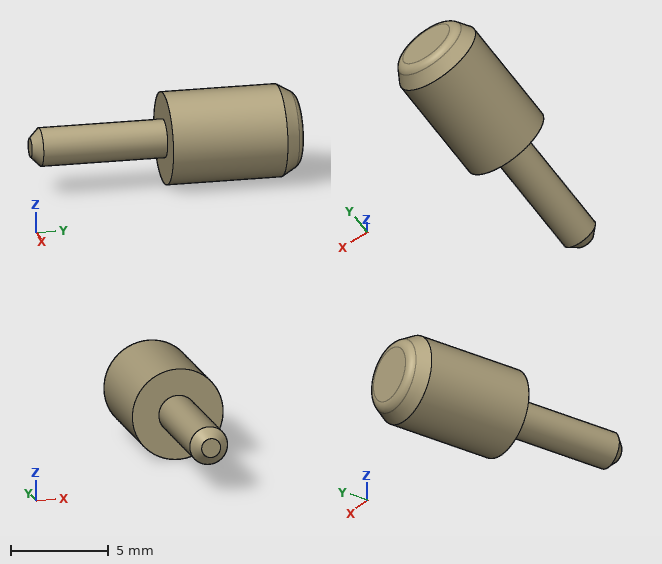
import cadquery as cq
import math

head_radius = 2.4
head_length = 7.0
taper_length = 1.0
taper_angle = math.radians(30)
nose_fillet = 0.6

shank_radius = 1.0
shank_length = 7.0
tip_chamfer = 0.5

nose_edge_radius = head_radius - taper_length * math.tan(taper_angle)
nose_turn = math.pi / 2 - taper_angle
tangent_length = nose_fillet * math.tan(nose_turn / 2)
end_flat_radius = nose_edge_radius - tangent_length
arc_start_radius = nose_edge_radius + tangent_length * math.sin(taper_angle)
arc_start_y = head_length - tangent_length * math.cos(taper_angle)
arc_mid_radius = end_flat_radius + nose_fillet * math.sin(nose_turn / 2)
arc_mid_y = head_length - nose_fillet * (1 - math.cos(nose_turn / 2))


def pin_half_profile():
    """Closed half section in the YZ plane: local x is Y, local y is the radius."""
    return (
        cq.Workplane("YZ")
        .moveTo(-shank_length, 0)
        .lineTo(-shank_length, shank_radius - tip_chamfer)
        .lineTo(-shank_length + tip_chamfer, shank_radius)
        .lineTo(0, shank_radius)
        .lineTo(0, head_radius)
        .lineTo(head_length - taper_length, head_radius)
        .lineTo(arc_start_y, arc_start_radius)
        .threePointArc((arc_mid_y, arc_mid_radius), (head_length, end_flat_radius))
        .lineTo(head_length, 0)
        .close()
    )


result = pin_half_profile().revolve(360, (0, 0, 0), (1, 0, 0))